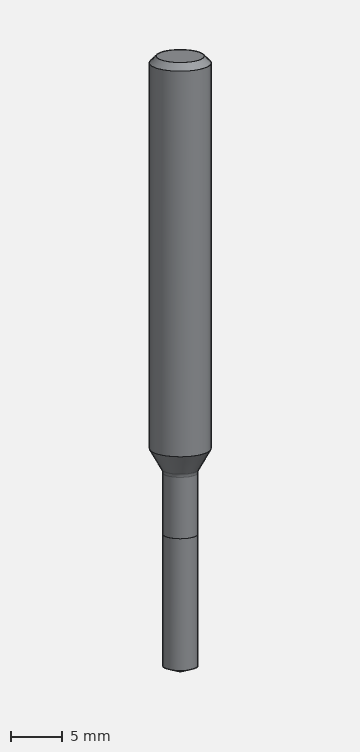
import cadquery as cq
import math

TOTAL_LENGTH = 62.0
SHANK_DIAMETER = 6.0
DRILL_DIAMETER = 3.4
POINT_ANGLE = 140.0
CUTTER_LENGTH = 13.9
SHOULDER_Z = 22.5
SHOULDER_SLOPE = 30.0
NECK_FILLET = 0.7
END_CHAMFER = 0.7

shank_radius = SHANK_DIAMETER / 2
drill_radius = DRILL_DIAMETER / 2
point_height = drill_radius / math.tan(math.radians(POINT_ANGLE / 2))
shoulder_height = (shank_radius - drill_radius) / math.tan(math.radians(SHOULDER_SLOPE))
neck_top_z = SHOULDER_Z - shoulder_height


def revolve_profile(profile):
    """Turn a closed radius-height profile about the Z axis."""
    return profile.close().revolve(360, (0, 0, 0), (0, 1, 0))


def make_cutter():
    """Cylindrical cutting end with a conical point."""
    profile = (
        cq.Workplane("XZ")
        .moveTo(0, 0)
        .lineTo(drill_radius, point_height)
        .lineTo(drill_radius, CUTTER_LENGTH)
        .lineTo(0, CUTTER_LENGTH)
    )
    return revolve_profile(profile)


def make_shank():
    """Neck, blended shoulder cone and shank with a chamfered end."""
    profile = (
        cq.Workplane("XZ")
        .moveTo(0, CUTTER_LENGTH)
        .lineTo(drill_radius, CUTTER_LENGTH)
        .lineTo(drill_radius, neck_top_z)
        .lineTo(shank_radius, SHOULDER_Z)
        .lineTo(shank_radius, TOTAL_LENGTH)
        .lineTo(0, TOTAL_LENGTH)
    )
    shank = revolve_profile(profile)
    neck_edge = cq.selectors.BoxSelector(
        (-shank_radius, -shank_radius, neck_top_z - NECK_FILLET / 2),
        (shank_radius, shank_radius, neck_top_z + NECK_FILLET / 2),
    )
    shank = shank.edges("%CIRCLE").edges(neck_edge).fillet(NECK_FILLET)
    return shank.faces(">Z").edges().chamfer(END_CHAMFER)


cutter = make_cutter()
shank = make_shank()
result = cq.Compound.makeCompound([cutter.val(), shank.val()])